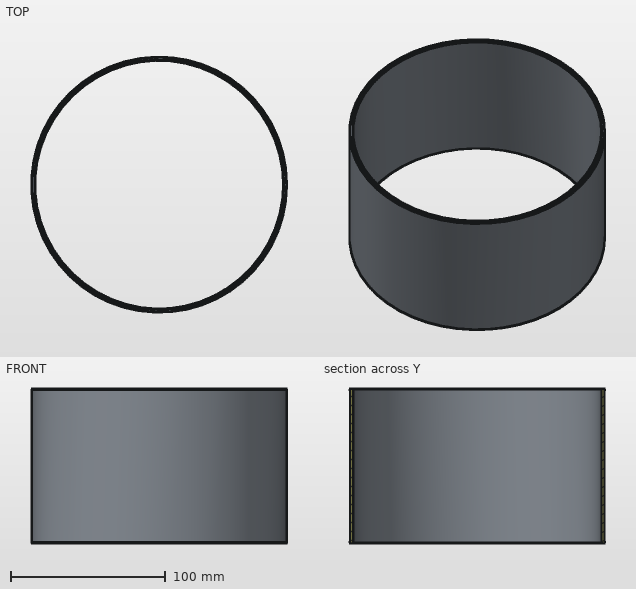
import cadquery as cq

outer_radius = 82.5
height = 100.0
wall = 2.5
inner_radius = outer_radius - wall

outer_bevel_depth = 1.0
outer_bevel_width = 0.41

inner_bevel = 0.7

wall_section = [
    (inner_radius, inner_bevel),
    (inner_radius + inner_bevel, 0),
    (outer_radius - outer_bevel_width, 0),
    (outer_radius, outer_bevel_depth),
    (outer_radius, height - outer_bevel_depth),
    (outer_radius - outer_bevel_width, height),
    (inner_radius + inner_bevel, height),
    (inner_radius, height - inner_bevel),
]

result = cq.Workplane("XZ").polyline(wall_section).close().revolve(360, (0, 0), (0, 1))